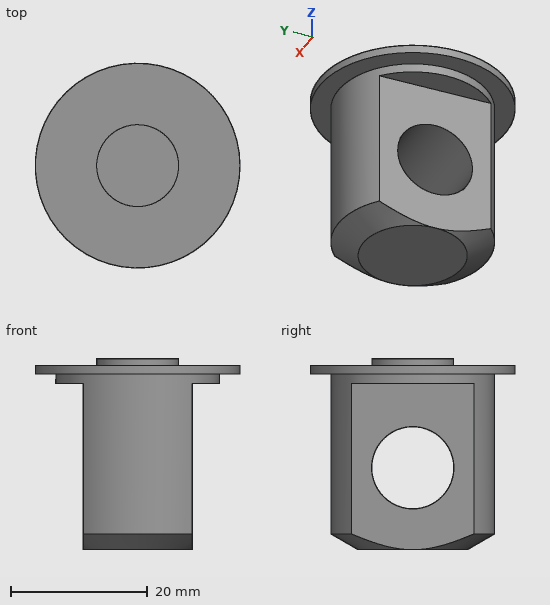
import cadquery as cq
import math

total_height = 28.0
flange_diameter = 30.0
flange_thickness = 1.3
boss_diameter = 12.0
boss_height = 1.0

body_diameter = 24.0
flat_spacing = 16.0
collar_height = 1.4
cone_angle = 30.0

hole_diameter = 12.0
hole_height = 12.0

cone_height = (body_diameter - flat_spacing) / 2 * math.tan(math.radians(cone_angle))
flange_top = total_height - boss_height
flange_bottom = flange_top - flange_thickness
flat_top = flange_bottom - collar_height


def revolved_blank():
    """Body, flange and boss turned about the Z axis."""
    return (
        cq.Workplane("XZ")
        .moveTo(0, 0)
        .lineTo(flat_spacing / 2, 0)
        .lineTo(body_diameter / 2, cone_height)
        .lineTo(body_diameter / 2, flange_bottom)
        .lineTo(flange_diameter / 2, flange_bottom)
        .lineTo(flange_diameter / 2, flange_top)
        .lineTo(boss_diameter / 2, flange_top)
        .lineTo(boss_diameter / 2, total_height)
        .lineTo(0, total_height)
        .close()
        .revolve(360, (0, 0, 0), (0, 1, 0))
    )


def flat_cutter(side):
    """Block that removes one side of the body below the collar."""
    return (
        cq.Workplane("XY")
        .center(side * (flat_spacing + body_diameter) / 2, 0)
        .rect(body_diameter, flange_diameter)
        .extrude(flat_top)
    )


def cross_hole():
    """Cylinder passing through both flats."""
    return (
        cq.Workplane("YZ")
        .center(0, hole_height)
        .circle(hole_diameter / 2)
        .extrude(body_diameter / 2, both=True)
    )


result = revolved_blank()
for side in (-1, 1):
    result = result.cut(flat_cutter(side))
result = result.cut(cross_hole())